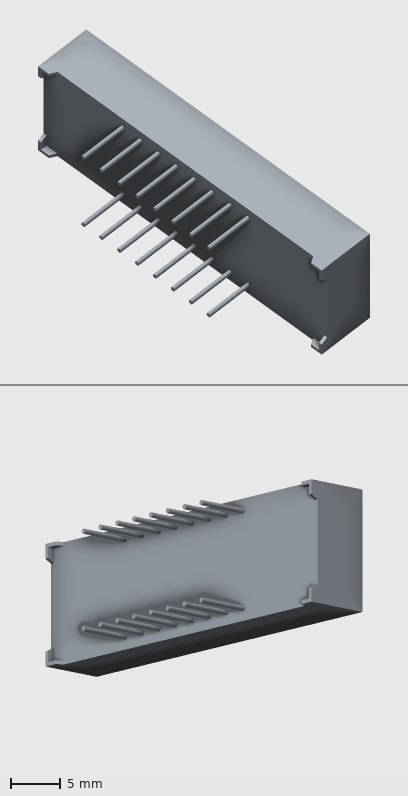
import cadquery as cq

length = 40.2
height = 12.8
total_depth = 12.0

body_depth = 6.25

foot_height = 0.8
foot_wall = 0.4
foot_base_length = 1.95
foot_tip_length = 1.53

pin_count = 8
pin_span = 17.75
pin_pitch = pin_span / (pin_count - 1)
pin_row_spacing = 10.17
pin_diameter = 0.52
pin_length = total_depth - body_depth

pin_face_y = -body_depth
half_length = length / 2
half_height = height / 2


def make_body():
    return cq.Workplane("XY").box(length, body_depth, height).translate((0, -body_depth / 2, 0))


def make_foot():
    """Foot for the corner at -X, -Z: two walls whose free ends slope toward the tip."""
    along_x = (
        cq.Workplane("XY", origin=(-half_length, pin_face_y, -half_height))
        .polyline([(0, 0), (foot_base_length, 0), (foot_tip_length, -foot_height), (0, -foot_height)])
        .close()
        .extrude(foot_wall)
    )
    along_z = (
        cq.Workplane("YZ", origin=(-half_length, pin_face_y, -half_height))
        .polyline([(0, 0), (0, foot_base_length), (-foot_height, foot_tip_length), (-foot_height, 0)])
        .close()
        .extrude(foot_wall)
    )
    return along_x.union(along_z)


def make_pins():
    return (
        cq.Workplane("XZ", origin=(0, pin_face_y, 0))
        .rarray(pin_pitch, pin_row_spacing, pin_count, 2)
        .circle(pin_diameter / 2)
        .extrude(pin_length)
    )


lower_left_foot = make_foot()
lower_feet = lower_left_foot.union(lower_left_foot.mirror("YZ"))
feet = lower_feet.union(lower_feet.mirror("XY"))

result = make_body().union(feet).union(make_pins())